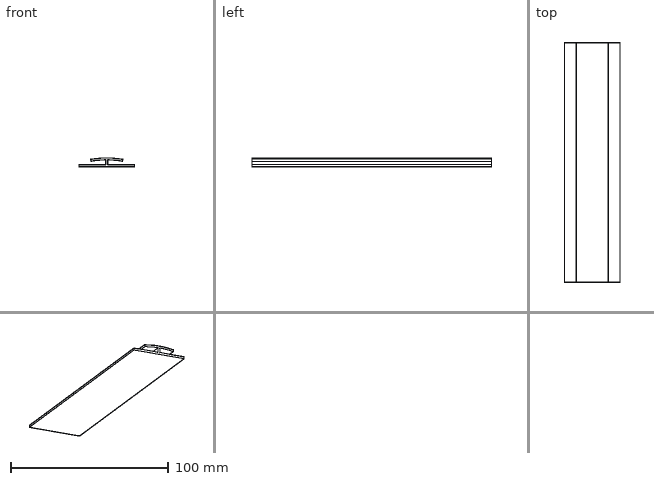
import cadquery as cq
import math

length = 152.4
base_width = 35.5
height = 5.8
wall = 1.4
cap_width = 20.5
cap_drop = 0.9

half_cap = cap_width / 2
outer_radius = (half_cap**2 + cap_drop**2) / (2 * cap_drop)
inner_radius = outer_radius - wall
arc_center_z = height - outer_radius
edge_angle = math.asin(half_cap / outer_radius)


def cap_point(radius, angle):
    """Point on a cap arc, with the angle measured from vertical."""
    return (radius * math.sin(angle), arc_center_z + radius * math.cos(angle))


def extrude_along_y(profile):
    return profile.extrude(length / 2, both=True)


def bar(width, bottom, top):
    """Rectangular strip centred on X, running the full length."""
    profile = cq.Workplane("XZ").center(0, (bottom + top) / 2).rect(width, top - bottom)
    return extrude_along_y(profile)


def crowned_cap():
    profile = (
        cq.Workplane("XZ")
        .moveTo(*cap_point(outer_radius, -edge_angle))
        .threePointArc(cap_point(outer_radius, 0), cap_point(outer_radius, edge_angle))
        .lineTo(*cap_point(inner_radius, edge_angle))
        .threePointArc(cap_point(inner_radius, 0), cap_point(inner_radius, -edge_angle))
        .close()
    )
    return extrude_along_y(profile)


base = bar(base_width, 0, wall)
web = bar(wall, wall / 2, height - wall / 2)

result = base.union(web).union(crowned_cap())